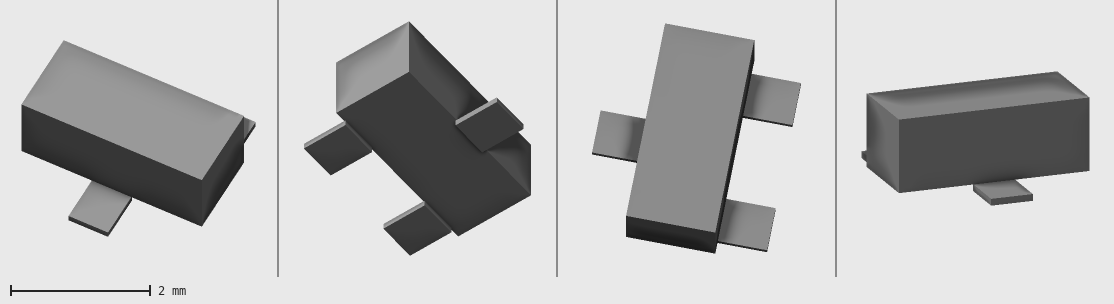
import cadquery as cq

housing_length = 2.92
housing_width = 1.302
housing_height = 1.107

lead_span = 2.74
lead_length = 0.74
lead_width = 0.64
lead_thickness = 0.102
lead_pitch = 0.95

lead_offset = (lead_span - lead_length) / 2
lead_centers = [
    (-lead_pitch, lead_offset),
    (0, -lead_offset),
    (lead_pitch, lead_offset),
]


def make_housing():
    """Plain block whose underside rests on the tops of the leads."""
    return (
        cq.Workplane("XY")
        .workplane(offset=lead_thickness)
        .rect(housing_length, housing_width)
        .extrude(housing_height)
    )


def make_lead(x, y):
    """Flat strip centred at (x, y), its inner end tucked under the housing."""
    return cq.Workplane("XY").center(x, y).rect(lead_width, lead_length).extrude(lead_thickness)


housing = make_housing()
leads = [make_lead(x, y) for x, y in lead_centers]

result = cq.Compound.makeCompound([housing.val(), *[lead.val() for lead in leads]])